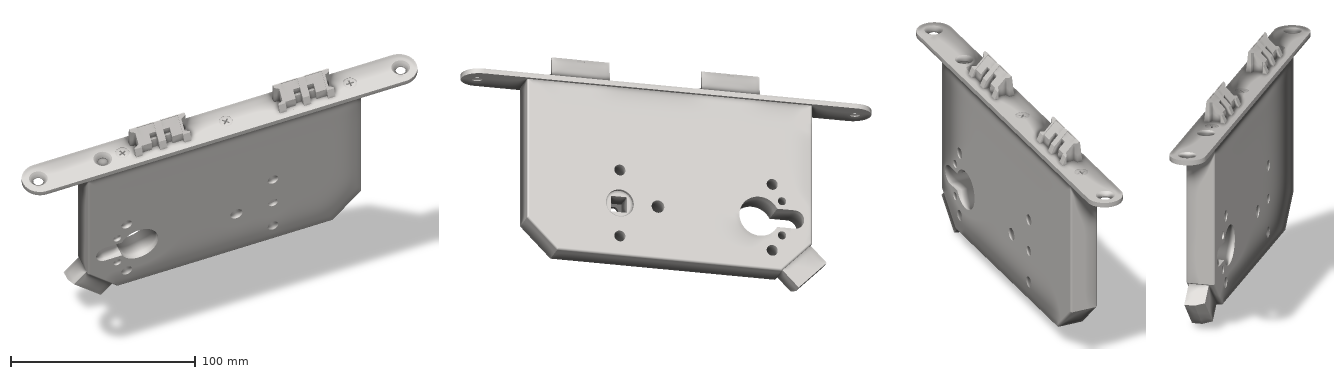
import cadquery as cq

PLATE_LENGTH = 230.0
PLATE_WIDTH = 20.0
PLATE_THICKNESS = 2.8
MOUNT_HOLE_Y = 106.0
BLIND_HOLE_Y = -68.3
MOUNT_HOLE_DIAMETER = 5.5
COUNTERSINK_DIAMETER = 10.1
COUNTERSINK_ANGLE = 90.0
SCREW_HEAD_DIAMETER = 7.5
SCREW_HEAD_SINK = 0.2
SCREW_CROSS_LENGTH = 4.4
SCREW_CROSS_WIDTH = 1.0
SCREW_CROSS_DEPTH = 1.2
SCREW_CROSS_TAPER = 18.0
SCREWS = [(76.4, 0), (3.7, 45), (-56.8, 20)]

CASE_LENGTH = 160.0
CASE_WIDTH = 16.0
CASE_HEIGHT = 97.0
CASE_CORNER = 17.0
CASE_EDGE_RADIUS = 1.2

FOLLOWER_Y = 28.0
HOLE_ROW_Z = -67.0
FOLLOWER_DIAMETER = 15.6
FOLLOWER_SINK = 2.0
SPINDLE_SQUARE = 9.0
SPINDLE_DEPTH = 13.8
SPINDLE_HOLE_DIAMETER = 5.5
ROSETTE_HOLE_DIAMETER = 6.2
ROSETTE_HOLE_RISE = 19.0
LOCK_ROSETTE_Y = -57.5
MIDDLE_HOLE_Y = 6.7
MIDDLE_HOLE_DIAMETER = 7.1

KEYHOLE_Y = -50.4
KEYHOLE_DIAMETER = 22.5
KEYHOLE_SLOT_WIDTH = 10.5
KEYHOLE_SLOT_REACH = 19.8
ESCUTCHEON_HOLE_Y = -63.0
ESCUTCHEON_HOLE_RISE = 10.0
ESCUTCHEON_HOLE_DIAMETER = 4.5

LATCH_YS = [49.2, -35.0]
LATCH_LENGTH = 32.5
LATCH_HEIGHT = 12.5
LATCH_HALF_BASE = 6.0
LATCH_SHOULDER_X = -4.5
LATCH_SHOULDER_DROP = 0.7
LATCH_TOP_LEFT = -4.4
LATCH_TOP_RIGHT = -4.0
LATCH_SLOPE_END = 4.0
LATCH_FLANGE = 4.1
LATCH_RIB_WIDTH = 4.1
LATCH_RIB_CHAMFER_DEPTH = 2.0
LATCH_RIB_CHAMFER_WIDTH = 0.2
LATCH_WEB_SINK = 0.5
LATCH_WEB_EDGE = 3.2
LATCH_NOTCH_DEPTH = 2.8
LATCH_NOTCH_MOUTH = (-3.0, 3.5)
LATCH_NOTCH_FLOOR = (-2.0, 2.5)
LATCH_POCKET_LENGTH = 4.0
LATCH_POCKET_START = -0.5
LATCH_POCKET_STEP = 1.0
LATCH_POCKET_FOOT = 2.5
LATCH_POCKET_FLOOR = 4.5

BOLT_WIDTH = 22.3
BOLT_REACH = 12.9
BOLT_LEFT = -6.7
BOLT_RIGHT = 4.5
BOLT_BEVEL_START = -1.0
BOLT_BEVEL_DROP = 2.0


def cylinder_x(y, z, diameter, x_start, length):
    """Cylinder along +X."""
    return cq.Workplane("YZ", origin=(x_start, y, z)).circle(diameter / 2).extrude(length)


def through_case(y, z, diameter):
    return cylinder_x(y, z, diameter, -CASE_WIDTH / 2, CASE_WIDTH)


def extrude_along_y(profile, y_center, length):
    """Extrude an XZ outline, centred on y_center."""
    return cq.Workplane("XZ", origin=(0, y_center, 0)).polyline(profile).close().extrude(length / 2, both=True)


def make_keyhole():
    """Round lock cylinder opening with a round-ended slot towards -Y."""
    round_part = through_case(KEYHOLE_Y, HOLE_ROW_Z, KEYHOLE_DIAMETER)
    slot_end_y = KEYHOLE_Y - KEYHOLE_SLOT_REACH
    slot = cq.Workplane("XY").box(CASE_WIDTH, KEYHOLE_SLOT_REACH, KEYHOLE_SLOT_WIDTH).translate(
        (0, (KEYHOLE_Y + slot_end_y) / 2, HOLE_ROW_Z)
    )
    slot_end = through_case(slot_end_y, HOLE_ROW_Z, KEYHOLE_SLOT_WIDTH)
    return round_part.union(slot).union(slot_end)


def make_follower_recess():
    """Round recess, square spindle socket and a smaller round hole out of the far side."""
    near_x = -CASE_WIDTH / 2
    recess = cylinder_x(FOLLOWER_Y, HOLE_ROW_Z, FOLLOWER_DIAMETER, near_x, FOLLOWER_SINK)
    square = (
        cq.Workplane("YZ", origin=(near_x, FOLLOWER_Y, HOLE_ROW_Z))
        .rect(SPINDLE_SQUARE, SPINDLE_SQUARE)
        .extrude(SPINDLE_DEPTH)
    )
    return recess.union(square).union(through_case(FOLLOWER_Y, HOLE_ROW_Z, SPINDLE_HOLE_DIAMETER))


def make_case():
    half = CASE_LENGTH / 2
    outline = [
        (half, 0),
        (half, CASE_CORNER - CASE_HEIGHT),
        (half - CASE_CORNER, -CASE_HEIGHT),
        (CASE_CORNER - half, -CASE_HEIGHT),
        (-half, CASE_CORNER - CASE_HEIGHT),
        (-half, 0),
    ]
    case = cq.Workplane("YZ").polyline(outline).close().extrude(CASE_WIDTH / 2, both=True)
    case = case.faces("<X or >X").edges("not (>Z)").fillet(CASE_EDGE_RADIUS)

    case = case.cut(make_keyhole()).cut(make_follower_recess())
    case = case.cut(through_case(MIDDLE_HOLE_Y, HOLE_ROW_Z, MIDDLE_HOLE_DIAMETER))
    for side in (-1, 1):
        rosette_z = HOLE_ROW_Z + side * ROSETTE_HOLE_RISE
        for y in (FOLLOWER_Y, LOCK_ROSETTE_Y):
            case = case.cut(through_case(y, rosette_z, ROSETTE_HOLE_DIAMETER))
        escutcheon_z = HOLE_ROW_Z + side * ESCUTCHEON_HOLE_RISE
        case = case.cut(through_case(ESCUTCHEON_HOLE_Y, escutcheon_z, ESCUTCHEON_HOLE_DIAMETER))
    return case


LATCH_TOP_Z = PLATE_THICKNESS + LATCH_HEIGHT
LATCH_BASE_LEFT = (-LATCH_HALF_BASE, PLATE_THICKNESS)
LATCH_SHOULDER_POINT = (LATCH_SHOULDER_X, LATCH_TOP_Z - LATCH_SHOULDER_DROP)


def slope_z(x):
    """Height of the 45 degree latch slope at x."""
    return LATCH_TOP_Z - (x - LATCH_TOP_RIGHT)


def make_full_profile(y_center, length):
    """Slice of the latch at full height, as used for the end flanges and the centre rib."""
    profile = [
        LATCH_BASE_LEFT,
        LATCH_SHOULDER_POINT,
        (LATCH_TOP_LEFT, LATCH_TOP_Z),
        (LATCH_TOP_RIGHT, LATCH_TOP_Z),
        (LATCH_SLOPE_END, slope_z(LATCH_SLOPE_END)),
        (LATCH_HALF_BASE, PLATE_THICKNESS),
    ]
    return extrude_along_y(profile, y_center, length)


def make_web(y_center):
    """Slightly sunk part of the wedge between the flanges, ending in a steep face."""
    profile = [
        LATCH_BASE_LEFT,
        LATCH_SHOULDER_POINT,
        (LATCH_TOP_LEFT, LATCH_TOP_Z),
        (LATCH_TOP_RIGHT, LATCH_TOP_Z),
        (LATCH_TOP_RIGHT, LATCH_TOP_Z - LATCH_WEB_SINK),
        (LATCH_WEB_EDGE, slope_z(LATCH_WEB_EDGE) - LATCH_WEB_SINK),
        (LATCH_SLOPE_END, PLATE_THICKNESS),
    ]
    return extrude_along_y(profile, y_center, LATCH_LENGTH)


def make_web_pocket(y_center):
    """Stepped pocket in the web, open towards +X."""
    floor_z = PLATE_THICKNESS + LATCH_POCKET_FLOOR
    profile = [
        (LATCH_POCKET_START, LATCH_TOP_Z),
        (LATCH_POCKET_START, floor_z),
        (LATCH_POCKET_STEP, floor_z),
        (LATCH_POCKET_FOOT, PLATE_THICKNESS),
        (LATCH_HALF_BASE, PLATE_THICKNESS),
        (LATCH_HALF_BASE, LATCH_TOP_Z),
    ]
    return extrude_along_y(profile, y_center, LATCH_POCKET_LENGTH)


def make_rib_chamfer(y_center):
    """Wedge taken off the top left edge at the rib, reaching lower than the shoulder beside it."""
    base_x, base_z = LATCH_BASE_LEFT
    shoulder_x, shoulder_z = LATCH_SHOULDER_POINT
    chamfer_z = LATCH_TOP_Z - LATCH_RIB_CHAMFER_DEPTH
    chamfer_x = base_x + (chamfer_z - base_z) * (shoulder_x - base_x) / (shoulder_z - base_z)
    profile = [
        (chamfer_x, chamfer_z),
        (LATCH_TOP_LEFT + LATCH_RIB_CHAMFER_WIDTH, LATCH_TOP_Z),
        (base_x, LATCH_TOP_Z),
        (base_x, chamfer_z),
    ]
    return extrude_along_y(profile, y_center, LATCH_RIB_WIDTH)


def make_end_notch(end_y, side):
    """Upright notch with slanted sides in one end of the latch."""
    floor_y = end_y - side * LATCH_NOTCH_DEPTH
    mouth_left, mouth_right = LATCH_NOTCH_MOUTH
    floor_left, floor_right = LATCH_NOTCH_FLOOR
    outline = [(mouth_left, end_y), (floor_left, floor_y), (floor_right, floor_y), (mouth_right, end_y)]
    return cq.Workplane("XY").polyline(outline).close().extrude(LATCH_TOP_Z)


def make_latch(y_center):
    """Wedge-shaped bolt filling its faceplate opening: two end flanges, a centre rib and thinner webs."""
    latch = cq.Workplane("XY").box(
        2 * LATCH_HALF_BASE, LATCH_LENGTH, PLATE_THICKNESS, centered=(True, True, False)
    ).translate((0, y_center, 0))
    latch = latch.union(make_web(y_center)).union(make_full_profile(y_center, LATCH_RIB_WIDTH))
    latch = latch.cut(make_rib_chamfer(y_center))
    for side in (-1, 1):
        latch = latch.cut(make_web_pocket(y_center + side * (LATCH_RIB_WIDTH + LATCH_POCKET_LENGTH) / 2))
        flange_y = y_center + side * (LATCH_LENGTH - LATCH_FLANGE) / 2
        latch = latch.union(make_full_profile(flange_y, LATCH_FLANGE))
        latch = latch.cut(make_end_notch(y_center + side * LATCH_LENGTH / 2, side))
    return latch


def drill_countersunk_hole(plate, y):
    top = plate.faces(">Z").workplane(origin=(0, y, 0))
    return top.cskHole(MOUNT_HOLE_DIAMETER, COUNTERSINK_DIAMETER, COUNTERSINK_ANGLE)


def make_screw_head_recess(y, turn):
    """Slightly sunk round head with a cross recess."""
    head_z = PLATE_THICKNESS - SCREW_HEAD_SINK
    head = cq.Workplane("XY", origin=(0, y, head_z)).circle(SCREW_HEAD_DIAMETER / 2).extrude(SCREW_HEAD_SINK)
    for angle in (turn, turn + 90):
        arm = (
            cq.Workplane("XY", origin=(0, y, head_z))
            .transformed(rotate=(0, 0, angle))
            .rect(SCREW_CROSS_LENGTH, SCREW_CROSS_WIDTH)
            .extrude(-SCREW_CROSS_DEPTH, taper=SCREW_CROSS_TAPER)
        )
        head = head.union(arm)
    return head


def make_faceplate(latches):
    plate = cq.Workplane("XY").slot2D(PLATE_LENGTH, PLATE_WIDTH, 90).extrude(PLATE_THICKNESS)
    for y in (-MOUNT_HOLE_Y, BLIND_HOLE_Y, MOUNT_HOLE_Y):
        plate = drill_countersunk_hole(plate, y)
    for y, turn in SCREWS:
        plate = plate.cut(make_screw_head_recess(y, turn))
    for latch in latches:
        plate = plate.cut(latch)
    return plate


def make_corner_bolt():
    """Block standing square on the case's cut-off corner, its end bevelled towards +X."""
    corner_center = (0, (CASE_CORNER - CASE_LENGTH) / 2, CASE_CORNER / 2 - CASE_HEIGHT)
    outward = cq.Vector(0, -1, -1)
    side_plane = cq.Plane(origin=corner_center, xDir=(1, 0, 0), normal=cq.Vector(1, 0, 0).cross(outward))
    outline = [
        (BOLT_LEFT, 0),
        (BOLT_LEFT, BOLT_REACH),
        (BOLT_BEVEL_START, BOLT_REACH),
        (BOLT_RIGHT, BOLT_REACH - BOLT_BEVEL_DROP),
        (BOLT_RIGHT, 0),
    ]
    return cq.Workplane(side_plane).polyline(outline).close().extrude(BOLT_WIDTH / 2, both=True)


case = make_case()
latches = [make_latch(y) for y in LATCH_YS]
faceplate = make_faceplate(latches)
corner_bolt = make_corner_bolt()

result = cq.Compound.makeCompound([
    case.val(),
    faceplate.val(),
    *[latch.val() for latch in latches],
    corner_bolt.val(),
])